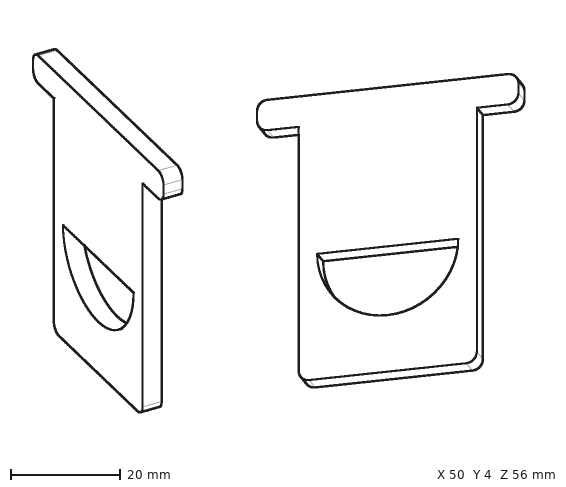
import cadquery as cq

height = 56.0
thickness = 4.0
corner_radius = 2.0

bar_width = 50.0
bar_height = 6.0

plate_width = 34.1

opening_radius = 13.5
opening_drop = 31.35

top_z = height / 2
bottom_z = -height / 2
opening_z = top_z - opening_drop


def slab(width, low_z, high_z):
    """Flat rectangular slab centred on X and Y, between two heights."""
    return (
        cq.Workplane("XY")
        .box(width, thickness, high_z - low_z)
        .translate((0, 0, (low_z + high_z) / 2))
    )


def make_crossbar():
    bar = slab(bar_width, top_z - bar_height, top_z)
    return bar.edges("|Y").fillet(corner_radius)


def make_plate():
    plate = slab(plate_width, bottom_z, top_z - bar_height / 2)
    return plate.edges("|Y and <Z").fillet(corner_radius)


def make_opening():
    return (
        cq.Workplane("XZ", origin=(0, 0, opening_z))
        .moveTo(-opening_radius, 0)
        .threePointArc((0, -opening_radius), (opening_radius, 0))
        .close()
        .extrude(thickness, both=True)
    )


result = make_crossbar().union(make_plate()).cut(make_opening())